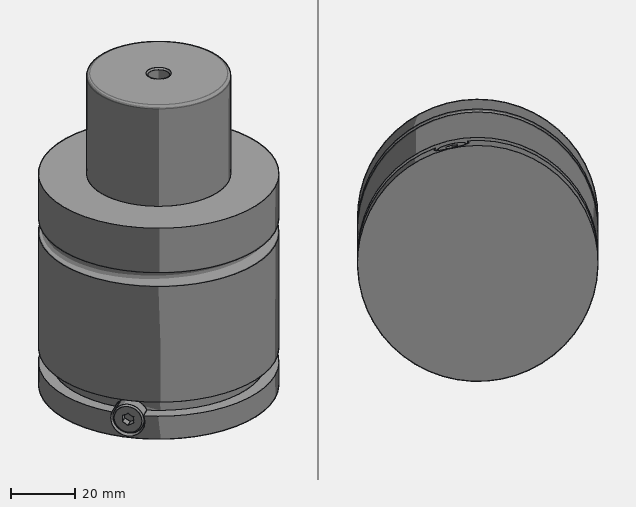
import cadquery as cq
import math

height = 109.0
body_radius = 75.0 / 2
rod_radius = 45.0 / 2
neck_radius = 67.0 / 2

flange_top = 8.1
neck_top = 13.0
body_top = 73.9

groove_level = 55.9
groove_radius = 2.4
groove_depth = 2.6

rod_edge = 1.0
hole_diameter = 6.8
hole_depth = 13.1
drill_point_angle = 118.0
hole_chamfer = 0.5

port_level = 6.0
port_diameter = 11.0
port_floor = 28.3
plug_diameter = 10.0
plug_face = 36.8
plug_chamfer = 0.5
socket_flats = 3.6
socket_depth = 2.7


def make_body():
    """Revolve the stepped outline of the base, neck, body and rod."""
    groove_center = body_radius - groove_depth + groove_radius
    groove_low = groove_level - groove_radius
    groove_high = groove_level + groove_radius
    outline = (
        cq.Workplane("XZ")
        .lineTo(body_radius, 0)
        .lineTo(body_radius, flange_top)
        .lineTo(neck_radius, flange_top)
        .lineTo(neck_radius, neck_top)
        .lineTo(body_radius, neck_top)
        .lineTo(body_radius, groove_low)
        .lineTo(groove_center, groove_low)
        .threePointArc((body_radius - groove_depth, groove_level), (groove_center, groove_high))
        .lineTo(body_radius, groove_high)
        .lineTo(body_radius, body_top)
        .lineTo(rod_radius, body_top)
        .lineTo(rod_radius, height)
        .lineTo(0, height)
        .close()
    )
    body = outline.revolve(360, (0, 0, 0), (0, 1, 0))
    return body.faces(">Z").edges().fillet(rod_edge)


def make_rod_hole():
    """Chamfered blind hole with a conical drill point."""
    radius = hole_diameter / 2
    full_depth_level = height - hole_depth
    point_length = radius / math.tan(math.radians(drill_point_angle / 2))
    outline = (
        cq.Workplane("XZ")
        .moveTo(0, height)
        .lineTo(radius + hole_chamfer, height)
        .lineTo(radius, height - hole_chamfer)
        .lineTo(radius, full_depth_level)
        .lineTo(0, full_depth_level - point_length)
        .close()
    )
    return outline.revolve(360, (0, 0, 0), (0, 1, 0))


def port_plane(distance):
    """Sketch plane facing -Y, centred on the port at a distance from the part axis."""
    return cq.Workplane("XZ", origin=(0, -distance, port_level))


def make_port():
    """Round pocket cut radially into the flange and the neck, below the body."""
    return port_plane(port_floor).circle(port_diameter / 2).extrude(body_radius - port_floor)


def make_plug():
    """Plug standing on the port floor, with a chamfered face and a hex socket."""
    plug = port_plane(port_floor).circle(plug_diameter / 2).extrude(plug_face - port_floor)
    plug = plug.faces("<Y").edges().chamfer(plug_chamfer)
    socket_corners = socket_flats / math.cos(math.pi / 6)
    socket = (
        port_plane(plug_face - socket_depth)
        .transformed(rotate=(0, 0, 90))
        .polygon(6, socket_corners)
        .extrude(socket_depth)
    )
    return plug.cut(socket)


result = make_body().cut(make_rod_hole()).cut(make_port()).union(make_plug())